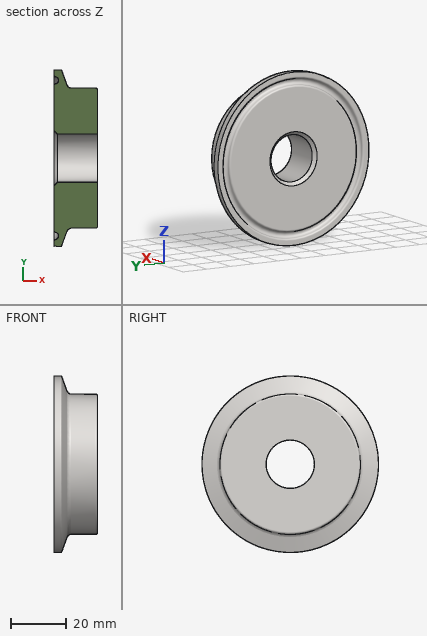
import cadquery as cq
import math

flange_radius = 63.9 / 2
hub_radius = 50.8 / 2
length = 15.85

rim_width = 2.5
rim_fillet = 0.45
back_slope = 20

root_fillet = 1.6
hub_end_fillet = 0.75

bore_radius = 8.7
mouth_radius = 10.0
mouth_depth = 1.3

groove_radius = 28.2
floor_half_width = 1.2
lip_width = 0.75
wall_angle = 80


def make_body():
    """Revolve the flange and hub outline, with sharp corners at rim and root, then round its edges."""
    back_depth = (flange_radius - hub_radius) * math.tan(math.radians(back_slope))
    rim_corner_offset = rim_fillet * math.tan(math.radians(90 - back_slope) / 2)
    rim_corner_x = rim_width + rim_corner_offset
    root_x = rim_corner_x + back_depth
    outline = (
        cq.Workplane("XY")
        .polyline([
            (0, 0),
            (0, flange_radius),
            (rim_corner_x, flange_radius),
            (root_x, hub_radius),
            (length, hub_radius),
            (length, 0),
        ])
        .close()
    )
    body = outline.revolve(360, (0, 0, 0), (1, 0, 0))

    edge_margin = 0.05

    def edges_near(x, radius):
        reach = radius + edge_margin
        return body.edges(
            cq.selectors.BoxSelector(
                (x - edge_margin, -reach, -reach),
                (x + edge_margin, reach, reach),
                boundingbox=True,
            )
        )

    body = edges_near(rim_corner_x, flange_radius).fillet(rim_fillet)
    body = edges_near(root_x, hub_radius).fillet(root_fillet)
    return edges_near(length, hub_radius).fillet(hub_end_fillet)


def make_groove():
    """Ring cutter for the gasket groove."""
    angle = math.radians(wall_angle)
    floor_arc = floor_half_width / math.sin(angle)
    lip_arc = lip_width / math.sin(angle)
    lip_depth = lip_arc * (1 - math.cos(angle))
    depth = lip_depth + floor_arc * (1 - math.cos(angle))

    lip_mid_depth = lip_arc * (1 - math.cos(angle / 2))
    half_width = floor_half_width + lip_width
    lip_mid_offset = half_width - lip_arc * math.sin(angle / 2)

    return (
        cq.Workplane("XY")
        .moveTo(0, groove_radius - half_width)
        .threePointArc(
            (lip_mid_depth, groove_radius - lip_mid_offset),
            (lip_depth, groove_radius - floor_half_width),
        )
        .threePointArc((depth, groove_radius), (lip_depth, groove_radius + floor_half_width))
        .threePointArc(
            (lip_mid_depth, groove_radius + lip_mid_offset),
            (0, groove_radius + half_width),
        )
        .close()
        .revolve(360, (0, 0, 0), (1, 0, 0))
    )


def make_bore():
    """Cutter for the through bore and its conical mouth."""
    return (
        cq.Workplane("XY")
        .polyline([
            (0, 0),
            (0, mouth_radius),
            (mouth_depth, bore_radius),
            (length, bore_radius),
            (length, 0),
        ])
        .close()
        .revolve(360, (0, 0, 0), (1, 0, 0))
    )


result = make_body().cut(make_groove()).cut(make_bore())